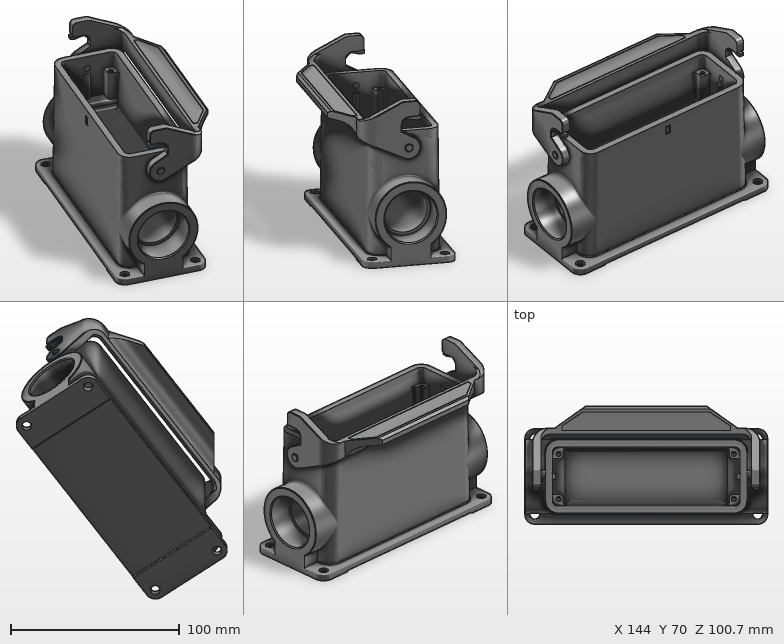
import cadquery as cq
import math

ENDS = (-1, 1)

flange_length = 144.0
flange_width = 56.7
flange_thickness = 4.0
flange_corner_radius = 6.2
flange_edge_radius = 0.5
mount_hole_diameter = 5.6
mount_hole_x = 66.0
mount_hole_y = 22.3
relief_half_length = 51.3
relief_depth = 0.7

base_length, base_width, base_corner_radius = 121.8, 44.4, 7.6
rim_length, rim_width, rim_corner_radius = 119.2, 43.2, 7.5
rim_wall = 4.0
rim_bottom_z = 75.2
rim_top_z = 80.4
rim_crown = 0.3
rim_edge_z = rim_top_z - rim_crown
base_fillet_size = 0.6
notch_width = 3.2
notch_height = 5.2
notch_depth = 0.7

cavity_length = rim_length - 2 * rim_wall
cavity_mouth_width = rim_width - 2 * rim_wall
cavity_post_width = 34.3
cavity_floor_width = 32.8
cavity_corner_radius = rim_corner_radius - rim_wall
floor_z = 45.8
floor_half_length = 48.1
floor_fillet_radius = 2.7
ledge_fillet_radius = 2.9
ledge_z = floor_z + floor_fillet_radius + ledge_fillet_radius + 0.1

post_top_z = 69.5
post_inner_x, post_outer_x = 49.2, 56.5
post_inner_y, post_outer_y = 10.5, 18.7
post_edge_radius = 2.3
post_end_flare_radius = 0.9
screw_x = 51.8
screw_y = 13.4
screw_hole_diameter = 3.0
screw_hole_depth = 11.5
peg_diameter = 4.0
peg_top_z = 67.7

entry_z = 30.0
entry_diameter = 43.8
entry_edge_chamfer = 0.5
entry_bore_diameter = 28.0
entry_counterbore_diameter = 32.0
entry_counterbore_depth = 15.3
entry_mouth_chamfer = 0.7
entry_root_x = 51.8
entry_root_radius = 0.7
neck_width = 24.5

pivot_z = 71.7
arm_outer_x = 67.4
arm_inner_x = 62.4
arm_end_radius = 7.0
arm_edge_chamfer = 0.36
bend_y = 19.5
outer_bend_radius = 9.2
inner_bend_radius = 5.6
lever_back_y = bend_y + outer_bend_radius
lever_inner_back_y = bend_y + inner_bend_radius
hook_top_z = 100.7
hook_tip_y = -6.9
hook_corner_radius = 3.2
hook_tip_chamfer = 1.3
ramp_end_y = 3.7
ramp_end_radius = 3.2
slot_top_z = 90.9
slot_back_y = 4.5
slot_arc_z = 86.0
slot_arc_y = slot_back_y - (slot_top_z - slot_arc_z)
slot_bottom_z = 82.2
back_bottom_z = 77.5
back_corner_top_z = 91.0
back_foot_z = 76.5
back_corner_foot_z = 75.5
rib_width = 2.7
rib_center_x = 65.16
rib_outline = [
    (slot_back_y, slot_arc_z),
    (2.9, 88.0),
    (1.2, 89.5),
    (-0.9, 89.4),
    (-4.9, 88.4),
    (-7.6, 88.8),
    (-7.6, slot_top_z),
    (slot_arc_y, slot_top_z),
    (3.0, 89.4),
]

handle_top_z = 88.7
handle_tip_y = 41.6
handle_tip_thickness = 4.6
handle_tip_chamfer = 1.6
handle_arc_y = 36.9
handle_root_half_length = 54.1
handle_tip_half_length = 35.9
panel_depth = 0.3
panel_front_y, panel_shoulder_y, panel_tip_y = 27.2, 30.0, 38.2
panel_half_length = 49.8
panel_tip_half_length = 37.6

pin_diameter = 4.0
pin_shoulder_diameter = 7.0
pin_shoulder_x = 59.8
pin_head_diameter = 5.0
pin_head_height = 0.6


def rounded_block(length, width, radius, bottom_z, top_z):
    """Upright block with rounded vertical corners, centred on the Z axis."""
    block = cq.Workplane("XY").workplane(offset=bottom_z).rect(length, width).extrude(top_z - bottom_z)
    return block.edges("|Z").fillet(radius)


def tapered_block(*sections):
    """Block through two rounded rectangles, each given as (length, width, corner radius, z)."""
    outlines = [
        cq.Sketch().rect(length, width).vertices().fillet(radius).moved(cq.Location(cq.Vector(0, 0, z)))
        for length, width, radius, z in sections
    ]
    return cq.Workplane("XY").placeSketch(*outlines).loft(ruled=True)


def box_between(x_range, y_range, z_range):
    """Box given by its (low, high) extents along the three axes."""
    ranges = (x_range, y_range, z_range)
    sizes = [high - low for low, high in ranges]
    corner = tuple(low for low, high in ranges)
    return cq.Workplane("XY").box(*sizes, centered=False).translate(corner)


def both_ends(shape):
    """The shape together with its mirror image at the other end of X."""
    return shape.union(shape.mirror("YZ"))


def x_cylinder(diameter, x_start, x_end, z):
    """Cylinder along X in the plane Y = 0."""
    disc = cq.Workplane("YZ").workplane(offset=x_start).center(0, z).circle(diameter / 2)
    return disc.extrude(x_end - x_start)


def tangent_angle(y, z, side):
    """Angle on the lever's arm end where a line from the point (y, z) touches it."""
    distance = math.hypot(y, z - pivot_z)
    return math.atan2(z - pivot_z, y) + side * math.acos(arm_end_radius / distance)


def arm_end_point(angle):
    """Point (y, z) on the lever's round arm end."""
    return arm_end_radius * math.cos(angle), pivot_z + arm_end_radius * math.sin(angle)


def make_flange():
    """Mounting flange with four holes and a shallow relief under its middle."""
    flange = rounded_block(flange_length, flange_width, flange_corner_radius, 0, flange_thickness)
    flange = flange.faces(">Z").edges().fillet(flange_edge_radius)
    holes = (
        cq.Workplane("XY")
        .rect(2 * mount_hole_x, 2 * mount_hole_y, forConstruction=True)
        .vertices()
        .circle(mount_hole_diameter / 2)
        .extrude(flange_thickness)
    )
    relief = (
        cq.Workplane("XZ")
        .moveTo(-relief_half_length - relief_depth, 0)
        .lineTo(-relief_half_length, relief_depth)
        .lineTo(relief_half_length, relief_depth)
        .lineTo(relief_half_length + relief_depth, 0)
        .close()
        .extrude(flange_width, both=True)
    )
    return flange.cut(holes).cut(relief)


def make_rim_crown():
    """Shallow dome on the rim, swept along the middle of the wall."""
    middle_length = rim_length - rim_wall
    middle_block = rounded_block(
        middle_length, rim_width - rim_wall, rim_corner_radius - rim_wall / 2, rim_edge_z, rim_top_z
    )
    path = cq.Workplane(obj=middle_block.faces("<Z").wires().val())
    dome = (
        cq.Workplane("XZ")
        .moveTo(rim_length / 2, rim_edge_z)
        .threePointArc((middle_length / 2, rim_top_z), (cavity_length / 2, rim_edge_z))
        .close()
    )
    return dome.sweep(path)


def make_walls():
    """Drafted walls with an upright rim band on top."""
    base = (base_length, base_width, base_corner_radius, flange_thickness)
    shoulder = (rim_length, rim_width, rim_corner_radius, rim_bottom_z)
    rim_edge = (rim_length, rim_width, rim_corner_radius, rim_edge_z)
    return tapered_block(base, shoulder).union(tapered_block(shoulder, rim_edge))


def make_base_fillet():
    """Narrow sloping collar where the walls meet the flange."""
    spread = 2 * base_fillet_size
    foot = (base_length + spread, base_width + spread, base_corner_radius + base_fillet_size, flange_thickness)
    collar_top = (base_length, base_width, base_corner_radius, flange_thickness + base_fillet_size)
    return tapered_block(foot, collar_top)


def make_entry():
    """Cable entry boss and the neck that carries it, at the +X end."""
    face_x = flange_length / 2
    boss = x_cylinder(entry_diameter, entry_root_x, face_x, entry_z)
    boss = boss.faces(">X").chamfer(entry_edge_chamfer)
    neck = box_between((entry_root_x, face_x), (-neck_width / 2, neck_width / 2), (0, entry_z))
    return boss.union(neck.cut(box_between((0, face_x), (-neck_width, neck_width), (0, relief_depth))))


def round_entry_roots(body):
    """Fillet where the entries and their necks meet the walls."""
    zones = [
        cq.selectors.BoxSelector(
            (end * entry_root_x, -rim_width / 2, flange_thickness + base_fillet_size),
            (end * (base_length / 2 + 0.1), rim_width / 2, entry_z + entry_diameter / 2),
        )
        for end in ENDS
    ]
    return body.edges(zones[0] + zones[1]).fillet(entry_root_radius)


def make_cable_bore():
    """Bore through both entries, with a counterbore and a chamfered mouth at each end."""
    face_x = flange_length / 2
    counterbore_radius = entry_counterbore_diameter / 2
    shoulder_x = face_x - entry_counterbore_depth
    half_bore = (
        cq.Workplane("XZ")
        .polyline(
            [
                (0, 0),
                (0, entry_bore_diameter / 2),
                (shoulder_x, entry_bore_diameter / 2),
                (shoulder_x, counterbore_radius),
                (face_x - entry_mouth_chamfer, counterbore_radius),
                (face_x, counterbore_radius + entry_mouth_chamfer),
                (face_x, 0),
            ]
        )
        .close()
        .revolve(360, (0, 0, 0), (1, 0, 0))
        .translate((0, 0, entry_z))
    )
    return both_ends(half_bore)


def make_posts():
    """Four posts in the cavity corners, rounded at the inner edge and flared into the walls."""
    end_wall_x = cavity_length / 2
    side_wall_y = cavity_post_width / 2
    radius = post_edge_radius
    end_flare = post_end_flare_radius
    post = (
        cq.Workplane("XY")
        .workplane(offset=floor_z)
        .moveTo(post_outer_x, post_inner_y - end_flare)
        .lineTo(end_wall_x, post_inner_y - end_flare)
        .radiusArc((end_wall_x - end_flare, post_inner_y), -end_flare)
        .lineTo(post_inner_x + radius, post_inner_y)
        .radiusArc((post_inner_x, post_inner_y + radius), radius)
        .lineTo(post_inner_x, side_wall_y - radius)
        .radiusArc((post_inner_x - radius, side_wall_y), -radius)
        .lineTo(post_inner_x - radius, post_outer_y)
        .lineTo(post_outer_x, post_outer_y)
        .close()
        .extrude(post_top_z - floor_z)
    )
    return both_ends(post.union(post.mirror("XZ")))


def make_cavity():
    """Inside of the housing: chamber with end ledges around the posts, and the opening above."""
    mouth = (cavity_length, cavity_mouth_width, cavity_corner_radius, rim_top_z)
    rim_foot = (cavity_length, cavity_mouth_width, cavity_corner_radius, rim_bottom_z)
    post_level = (cavity_length, cavity_post_width, cavity_corner_radius, post_top_z)
    floor = (cavity_length, cavity_floor_width, cavity_corner_radius, floor_z)
    end_step = box_between(
        (floor_half_length, cavity_length), (-cavity_mouth_width, cavity_mouth_width), (floor_z, ledge_z)
    )
    chamber = tapered_block(floor, post_level).cut(both_ends(end_step))
    chamber = chamber.faces("<Z").edges().fillet(floor_fillet_radius)
    ledge_edges = [
        cq.selectors.BoxSelector((x - 0.1, -1.5, ledge_z - 0.1), (x + 0.1, 1.5, ledge_z + 0.1))
        for x in (-floor_half_length, floor_half_length)
    ]
    chamber = chamber.edges(ledge_edges[0] + ledge_edges[1]).fillet(ledge_fillet_radius)
    chamber = chamber.cut(make_posts())
    return chamber.union(tapered_block(post_level, rim_foot)).union(tapered_block(rim_foot, mouth))


def make_screw_holes():
    """Blind hole with a conical bottom in each post."""
    radius = screw_hole_diameter / 2
    hole = (
        cq.Workplane("XZ")
        .polyline(
            [
                (0, post_top_z),
                (radius, post_top_z),
                (radius, post_top_z - screw_hole_depth),
                (0, post_top_z - screw_hole_depth - radius),
            ]
        )
        .close()
        .revolve(360, (0, 0, 0), (0, 1, 0))
        .translate((screw_x, screw_y, 0))
    )
    return both_ends(hole.union(hole.mirror("XZ")))


def make_peg():
    """Half-round peg on the inner end wall, at the +X end."""
    peg = cq.Workplane("XY").workplane(offset=ledge_z).center(cavity_length / 2, 0).circle(peg_diameter / 2)
    return peg.extrude(peg_top_z - ledge_z)


def make_notch():
    """Short groove below the rim in the middle of the -Y wall."""
    return box_between(
        (-notch_width / 2, notch_width / 2),
        (-base_width, notch_depth - rim_width / 2),
        (rim_bottom_z - notch_height, rim_bottom_z),
    )


def make_housing():
    """Housing with flange, cable entries, cavity and pivot holes."""
    body = make_walls().union(both_ends(make_entry()))
    body = round_entry_roots(body)
    body = body.union(make_rim_crown()).union(make_base_fillet()).union(make_flange())
    body = body.cut(make_cavity()).cut(make_cable_bore())
    body = body.union(both_ends(make_peg()))
    body = body.cut(make_screw_holes()).cut(make_notch())
    return body.cut(x_cylinder(pin_diameter, -rim_length, rim_length, pivot_z))


def make_lever_side_shape():
    """Side outline of the lever with its hook, as wide as the lever."""
    upper_touch = tangent_angle(slot_back_y, slot_bottom_z, 1)
    lower_touch = tangent_angle(lever_back_y, back_bottom_z, -1) + 2 * math.pi
    middle_angle = (upper_touch + lower_touch) / 2
    shape = (
        cq.Workplane("YZ")
        .workplane(offset=-arm_outer_x)
        .moveTo(lever_back_y, handle_top_z)
        .lineTo(ramp_end_y, hook_top_z)
        .lineTo(hook_tip_y + hook_corner_radius, hook_top_z)
        .tangentArcPoint((-hook_corner_radius, -hook_corner_radius))
        .lineTo(hook_tip_y, slot_top_z + hook_tip_chamfer)
        .lineTo(hook_tip_y + hook_tip_chamfer, slot_top_z)
        .lineTo(slot_arc_y, slot_top_z)
        .tangentArcPoint((slot_back_y, slot_arc_z), relative=False)
        .lineTo(slot_back_y, slot_bottom_z)
        .lineTo(*arm_end_point(upper_touch))
        .threePointArc(arm_end_point(middle_angle), arm_end_point(lower_touch))
        .lineTo(lever_back_y, back_bottom_z)
        .close()
        .extrude(2 * arm_outer_x)
    )
    ramp_edge = cq.selectors.NearestToPointSelector((0, ramp_end_y, hook_top_z))
    shape = shape.edges("|X").edges(ramp_edge).fillet(ramp_end_radius)
    return shape.faces("<X or >X").chamfer(arm_edge_chamfer)


def make_lever_frame():
    """U-shaped frame: two hooked arms joined by the back wall."""
    front_y = -2 * arm_end_radius
    heights = (pivot_z - arm_end_radius, hook_top_z)
    outside = box_between((-arm_outer_x, arm_outer_x), (front_y, lever_back_y), heights)
    outside = outside.edges("|Z and >Y").fillet(outer_bend_radius)
    inside = box_between((-arm_inner_x, arm_inner_x), (front_y, lever_inner_back_y), heights)
    inside = inside.edges("|Z and >Y").fillet(inner_bend_radius)
    frame = outside.cut(inside).intersect(make_lever_side_shape())
    top_clearance = make_back_clearance(handle_top_z, back_corner_top_z, hook_top_z)
    lower_clearance = make_back_clearance(back_foot_z, back_corner_foot_z, pivot_z - arm_end_radius)
    return frame.cut(top_clearance).cut(lower_clearance)


def make_back_clearance(middle_z, corner_z, limit_z):
    """Space above or below the back wall, level in the middle and turning in an arc to each arm."""
    half_space = (
        cq.Workplane("XZ")
        .moveTo(0, middle_z)
        .lineTo(arm_inner_x - inner_bend_radius, middle_z)
        .tangentArcPoint((arm_inner_x, corner_z), relative=False)
        .lineTo(arm_inner_x, limit_z)
        .lineTo(0, limit_z)
        .close()
        .extrude(-2 * lever_back_y)
    )
    return both_ends(half_space)


def make_hook_rib(side):
    """Narrow rib along the top and the rounded corner of the hook slot."""
    x_middle = side * rib_center_x
    return (
        cq.Workplane("YZ")
        .workplane(offset=x_middle - rib_width / 2)
        .polyline(rib_outline)
        .close()
        .extrude(rib_width)
    )


def make_handle():
    """Finger plate behind the back wall, narrowing to its tip."""
    tip_bottom_z = handle_top_z - handle_tip_thickness
    plate = (
        cq.Workplane("YZ")
        .workplane(offset=-handle_root_half_length)
        .moveTo(lever_inner_back_y, handle_top_z)
        .lineTo(handle_tip_y - handle_tip_chamfer, handle_top_z)
        .lineTo(handle_tip_y, handle_top_z - handle_tip_chamfer)
        .lineTo(handle_tip_y, tip_bottom_z)
        .lineTo(handle_arc_y, tip_bottom_z)
        .tangentArcPoint((lever_back_y, back_bottom_z), relative=False)
        .lineTo(lever_inner_back_y, back_bottom_z)
        .close()
        .extrude(2 * handle_root_half_length)
    )
    outline = (
        cq.Workplane("XY")
        .workplane(offset=back_bottom_z)
        .moveTo(-handle_root_half_length, lever_inner_back_y)
        .lineTo(-handle_root_half_length, lever_back_y)
        .lineTo(-handle_tip_half_length, handle_tip_y)
        .lineTo(handle_tip_half_length, handle_tip_y)
        .lineTo(handle_root_half_length, lever_back_y)
        .lineTo(handle_root_half_length, lever_inner_back_y)
        .close()
        .extrude(handle_top_z - back_bottom_z)
    )
    return plate.intersect(outline)


def make_handle_panel():
    """Shallow panel sunk into the top of the handle."""
    return (
        cq.Workplane("XY")
        .workplane(offset=handle_top_z - panel_depth)
        .moveTo(-panel_half_length, panel_front_y)
        .lineTo(-panel_half_length, panel_shoulder_y)
        .lineTo(-panel_tip_half_length, panel_tip_y)
        .lineTo(panel_tip_half_length, panel_tip_y)
        .lineTo(panel_half_length, panel_shoulder_y)
        .lineTo(panel_half_length, panel_front_y)
        .close()
        .extrude(panel_depth)
    )


def make_pivot_pin():
    """Pin, shoulder and chamfered head on the inside and outside of the +X arm."""
    pin = x_cylinder(pin_diameter, cavity_length / 2, arm_inner_x, pivot_z)
    shoulder = x_cylinder(pin_shoulder_diameter, pin_shoulder_x, arm_inner_x, pivot_z)
    head = x_cylinder(pin_head_diameter, arm_inner_x, arm_outer_x + pin_head_height, pivot_z)
    head = head.faces(">X").chamfer(pin_head_height, (pin_head_diameter - pin_diameter) / 2)
    return pin.union(shoulder).union(head)


def make_lever():
    """Lever frame with handle, hook ribs and pivot pins."""
    lever = make_lever_frame().union(make_handle()).cut(make_handle_panel())
    for side in ENDS:
        lever = lever.union(make_hook_rib(side))
    return lever.union(both_ends(make_pivot_pin()))


housing = make_housing()
lever = make_lever()

result = cq.Compound.makeCompound([housing.val(), lever.val()])